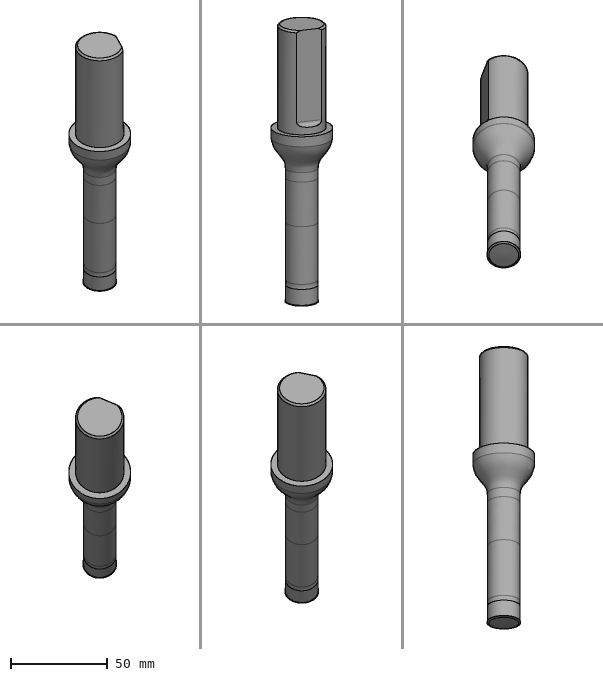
import cadquery as cq

TOTAL_HEIGHT = 151
COLLAR_TOP = 94.8
COLLAR_BOTTOM = 89.4
NECK_BOTTOM = 73.1
TAPER_TOP = 68.0
TAPER_BOTTOM = 43.8
GROOVE_TOP = 12.5
HEAD_TOP = 9.8
LIP_TOP = 1.2
LIP_EDGE = 0.9
POINT_RIM = 0.5

SHANK_DIAMETER = 25.0
COLLAR_DIAMETER = 32.0
NECK_DIAMETER = 17.0
SHAFT_DIAMETER = 16.9
HEAD_DIAMETER = 17.0
GROOVE_DIAMETER = 16.8
LIP_DIAMETER = 17.5
POINT_DIAMETER = 15.4

CHAMFER_WIDTH = 1.0
FLAT_OFFSET = 10.4
FLAT_BOTTOM = 101.3
RUNOUT_BOTTOM = 98.8
RUNOUT_MIDDLE = (11.0, 99.8)

BELL_POINTS = [(9.0, 76.4), (14.0, 83.7)]
NECK_TANGENT = (0, 1)
COLLAR_TANGENT = (0.2, 1)


def make_holder():
    """Turned holder: shank, collar, bell-shaped neck, tapered shaft and groove."""
    shank_radius = SHANK_DIAMETER / 2
    collar_radius = COLLAR_DIAMETER / 2
    neck_radius = NECK_DIAMETER / 2
    shaft_radius = SHAFT_DIAMETER / 2
    head_radius = HEAD_DIAMETER / 2
    groove_middle = (GROOVE_DIAMETER / 2, (HEAD_TOP + GROOVE_TOP) / 2)
    profile = (
        cq.Workplane("XZ")
        .moveTo(0, HEAD_TOP)
        .lineTo(head_radius, HEAD_TOP)
        .threePointArc(groove_middle, (shaft_radius, GROOVE_TOP))
        .lineTo(shaft_radius, TAPER_BOTTOM)
        .lineTo(neck_radius, TAPER_TOP)
        .lineTo(neck_radius, NECK_BOTTOM)
        .spline(
            [*BELL_POINTS, (collar_radius, COLLAR_BOTTOM)],
            tangents=[NECK_TANGENT, COLLAR_TANGENT],
            includeCurrent=True,
        )
        .lineTo(collar_radius, COLLAR_TOP)
        .lineTo(shank_radius, COLLAR_TOP)
        .lineTo(shank_radius, TOTAL_HEIGHT - CHAMFER_WIDTH)
        .lineTo(shank_radius - CHAMFER_WIDTH, TOTAL_HEIGHT)
        .lineTo(0, TOTAL_HEIGHT)
        .close()
    )
    body = profile.revolve(360, (0, 0, 0), (0, 1, 0))
    return body.cut(make_flat_cutter())


def make_flat_cutter():
    """Material removed for the clamping flat on the +Y side of the shank."""
    shank_radius = SHANK_DIAMETER / 2
    return (
        cq.Workplane("YZ")
        .moveTo(FLAT_OFFSET, TOTAL_HEIGHT)
        .lineTo(FLAT_OFFSET, FLAT_BOTTOM)
        .threePointArc(RUNOUT_MIDDLE, (shank_radius, RUNOUT_BOTTOM))
        .lineTo(shank_radius, TOTAL_HEIGHT)
        .close()
        .extrude(shank_radius, both=True)
    )


def make_head():
    """Turned cutting head: cylinder with a flared lip and a conical point."""
    head_radius = HEAD_DIAMETER / 2
    profile = (
        cq.Workplane("XZ")
        .lineTo(POINT_DIAMETER / 2, POINT_RIM)
        .lineTo(LIP_DIAMETER / 2, LIP_EDGE)
        .lineTo(head_radius, LIP_TOP)
        .lineTo(head_radius, HEAD_TOP)
        .lineTo(0, HEAD_TOP)
        .close()
    )
    return profile.revolve(360, (0, 0, 0), (0, 1, 0))


holder = make_holder()
head = make_head()
result = cq.Compound.makeCompound([holder.val(), head.val()])